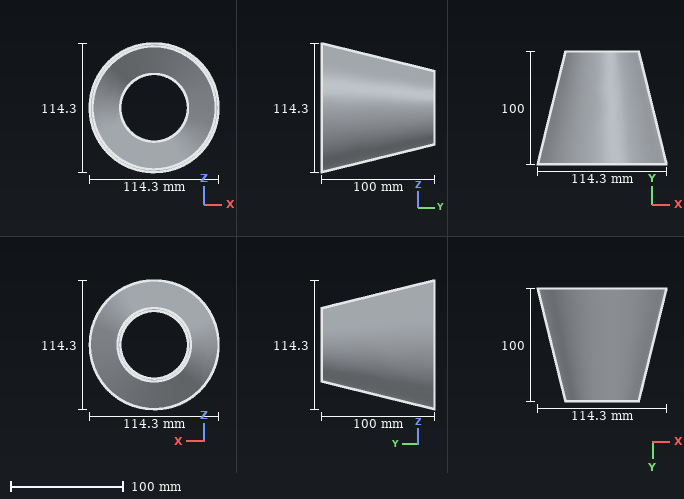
import cadquery as cq

wide_diameter = 114.3
narrow_diameter = 65.0
length = 100.0
wall = 2.6

wide_radius = wide_diameter / 2
narrow_radius = narrow_diameter / 2

wall_section = (
    cq.Workplane("XY")
    .moveTo(wide_radius - wall, 0)
    .lineTo(wide_radius, 0)
    .lineTo(narrow_radius, length)
    .lineTo(narrow_radius - wall, length)
    .close()
)

result = wall_section.revolve(360, (0, 0, 0), (0, 1, 0))